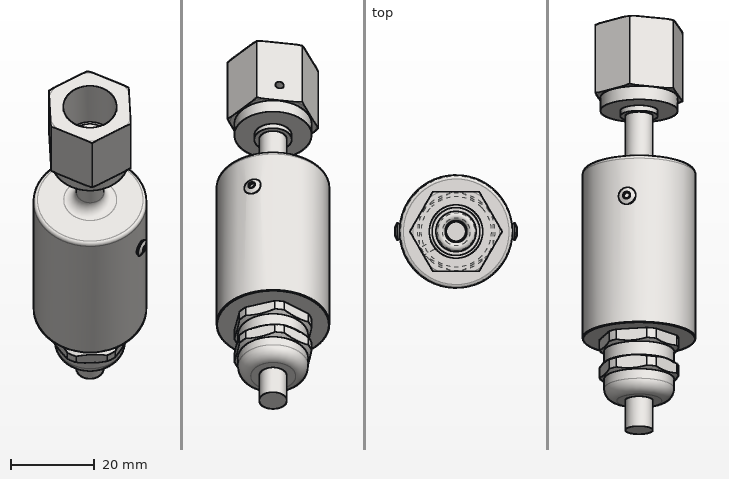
import cadquery as cq
import math

hex_half_angle = 30

cable_end = 0.0
cap_bottom = 7.4
clamp_nut_bottom = 12.7
clamp_nut_top = 16.3
base_nut_bottom = 19.6
body_bottom = 22.7
body_top = 64.6
collar_bottom = 78.4
flange_bottom = 79.7
union_bottom = 83.0
union_top = 100.2

cable_dia = 6.6
cap_dia = 16.7
cap_fillet = 3.0
gland_nut_flats = 17.4
gland_nut_corner_dia = 18.9
gland_nut_chamfer_angle = 30

body_dia = 27.0
body_top_fillet = 0.9
body_bottom_chamfer = 0.2

screw_tip_span = 29.2
screw_dia = 4.2
screw_neck_dia = 3.5
screw_tip_dia = 1.8
screw_rim = 0.5
screw_level = 54.2
socket_dia = 1.4
socket_depth = 0.5

stem_dia = 6.6
stem_flare = 3.0
stem_bore_dia = 4.6
collar_dia = 8.9

flange_dia = 18.4
union_flats = 19.0
union_chamfer_dia = 20.6
union_chamfer_angle = 15
union_bore_dia = 12.7
bore_floor = 85.2
seal_dia = 11.4
seal_top = 87.2
bead_ring_dia = 7.4
bead_dia = 2.2
vent_dia = 2.0
vent_level = 87.5


def corner_diameter(flats):
    """Diameter across the corners of a hexagon with the given width across flats."""
    return flats / math.cos(math.radians(hex_half_angle))


def disc(dia, low, high):
    """Cylinder on the part axis between two levels."""
    return cq.Workplane("XY").workplane(offset=low).circle(dia / 2).extrude(high - low)


def hexagon(flats, low, high, turn):
    """Hexagonal bar on the part axis; with no turn its corners point along X."""
    bar = cq.Workplane("XY").polygon(6, corner_diameter(flats)).extrude(high - low)
    return bar.rotate((0, 0, 0), (0, 0, 1), turn).translate((0, 0, low))


def nut_envelope(outer_dia, end_dia, low, high, chamfer_low, chamfer_high, angle):
    """Turned envelope that bevels the chosen ends of a nut down to end_dia."""
    envelope = disc(outer_dia, low, high)
    radial = (outer_dia - end_dia) / 2
    axial = radial * math.tan(math.radians(angle))
    if chamfer_low:
        envelope = envelope.faces("<Z").chamfer(axial, radial)
    if chamfer_high:
        envelope = envelope.faces(">Z").chamfer(axial, radial)
    return envelope


def gland_nut(low, high, chamfer_high):
    """Hexagon with flats facing +X and -X, corners turned round and ends bevelled."""
    envelope = nut_envelope(
        gland_nut_corner_dia, cap_dia, low, high, True, chamfer_high, gland_nut_chamfer_angle
    )
    return hexagon(gland_nut_flats, low, high, hex_half_angle).intersect(envelope)


def cable_gland():
    """Rounded cap, two hexagon nuts and the cable stub."""
    cap = disc(cap_dia, cap_bottom, body_bottom).faces("<Z").edges().fillet(cap_fillet)
    cable = disc(cable_dia, cable_end, cap_bottom)
    base_nut = gland_nut(base_nut_bottom, body_bottom, False)
    clamp_nut = gland_nut(clamp_nut_bottom, clamp_nut_top, True)
    return cap.union(cable).union(base_nut).union(clamp_nut)


def body():
    """Round housing with a rounded top edge and a fine bottom bevel."""
    shell = disc(body_dia, body_bottom, body_top)
    shell = shell.faces(">Z").edges().fillet(body_top_fillet)
    return shell.faces("<Z").edges().chamfer(body_bottom_chamfer)


def side_screw():
    """Screw on the +X side: tapered neck, rim, tapered head and blind round socket."""
    tip = screw_tip_span / 2
    rim = body_dia / 2 + screw_rim
    neck = body_dia / 2
    root = neck - screw_dia / 2
    profile = (
        cq.Workplane("XZ")
        .moveTo(root, 0)
        .lineTo(root, screw_neck_dia / 2)
        .lineTo(neck, screw_neck_dia / 2)
        .lineTo(rim, screw_dia / 2)
        .lineTo(tip, screw_tip_dia / 2)
        .lineTo(tip, socket_dia / 2)
        .lineTo(tip - socket_depth, socket_dia / 2)
        .lineTo(tip - socket_depth, 0)
        .close()
    )
    return profile.revolve(360, (0, 0), (1, 0)).translate((0, 0, screw_level))


def stem():
    """Tube that flares into the body top and carries the collar."""
    radius = stem_dia / 2
    arc_inset = stem_flare * (1 - math.sqrt(0.5))
    profile = (
        cq.Workplane("XZ")
        .moveTo(0, body_top)
        .lineTo(radius + stem_flare, body_top)
        .threePointArc((radius + arc_inset, body_top + arc_inset), (radius, body_top + stem_flare))
        .lineTo(radius, collar_bottom)
        .lineTo(collar_dia / 2, collar_bottom)
        .lineTo(collar_dia / 2, flange_bottom)
        .lineTo(0, flange_bottom)
        .close()
    )
    return profile.revolve(360, (0, 0), (0, 1))


def union_nut():
    """Open-topped hexagon nut on a round flange, with a vent hole."""
    corner_dia = corner_diameter(union_flats)
    envelope = nut_envelope(
        corner_dia, union_chamfer_dia, union_bottom, union_top, True, True, union_chamfer_angle
    )
    nut = hexagon(union_flats, union_bottom, union_top, 0).intersect(envelope)
    nut = nut.union(disc(flange_dia, flange_bottom, union_bottom))
    nut = nut.cut(disc(union_bore_dia, bore_floor, union_top))

    vent = cq.Workplane("YZ").circle(vent_dia / 2).extrude(union_flats)
    return nut.cut(vent.rotate((0, 0, 0), (0, 0, 1), 180 + hex_half_angle).translate((0, 0, vent_level)))


def sealing_face():
    """Disc with a raised round bead inside the union nut."""
    bead = (
        cq.Workplane("XZ")
        .center(bead_ring_dia / 2, seal_top)
        .circle(bead_dia / 2)
        .revolve(360, (-bead_ring_dia / 2, 0), (-bead_ring_dia / 2, 1))
    )
    return disc(seal_dia, bore_floor, seal_top).union(bead)


screw = side_screw()
result = cable_gland().union(body()).union(stem()).union(union_nut()).union(sealing_face())
for turn in (0, 180):
    result = result.union(screw.rotate((0, 0, 0), (0, 0, 1), turn))
result = result.cut(disc(stem_bore_dia, body_top, union_top))